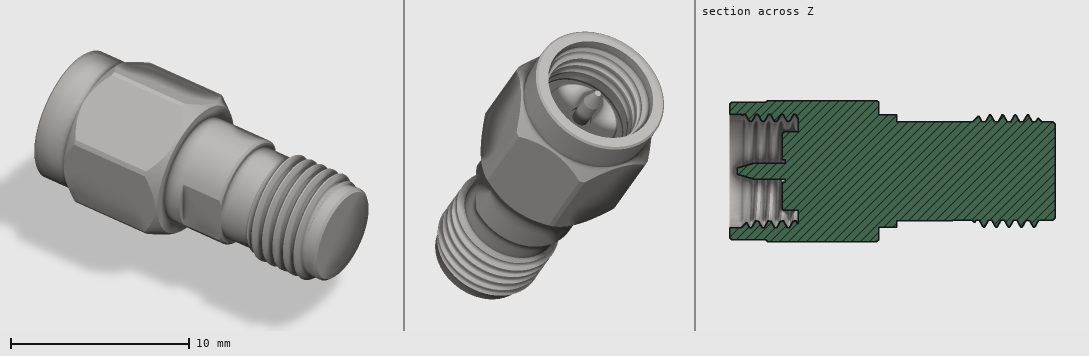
import cadquery as cq
import math

LENGTH = 18.29
HEX_START = 2.01
HEX_END = 8.38
FLAT_START = 9.4
BODY_END = 11.93
THREAD_START = 13.65
THREAD_END = 17.52

COLLAR_DIA = 7.75
COLLAR_CHAMFER = 0.11
HEX_ACROSS_FLATS = 7.94
HEX_CORNER_DIA = 9.0
HEX_BEVEL_LENGTH = 0.8

BODY_DIA = 6.35
BODY_CHAMFER = 0.13
NECK_DIA = 5.58
NECK_CHAMFER = 0.15
WRENCH_FLAT_SPAN = NECK_DIA

THREAD_TURNS = 5.5
PITCH = (THREAD_END - THREAD_START) / THREAD_TURNS
THREAD_HEIGHT = (BODY_DIA - NECK_DIA) / 2
CREST_WIDTH = 0.07
THREAD_BASE_WIDTH = 0.51
OUTER_CREST_X = 14.1
INNER_CREST_X = 1.35
INNER_BASE_WIDTH = 0.6
INNER_CREST_WIDTH = 0.16
EXTRA_TURNS = 1
ROOT_OVERLAP = 0.04

ENTRY_DEPTH = 0.65
SOCKET_DEPTH = 3.85
INSULATOR_DIA = 4.45
INSULATOR_FACE = 2.93
INSULATOR_CHAMFER = 0.13
PIN_DIA = 0.93
PIN_CLEARANCE_DIA = 1.23
PIN_CLEARANCE_DEPTH = 0.18
PIN_TIP_DIA = 0.37
PIN_TIP_X = 0.4
PIN_SHOULDER_X = 1.37


def cylinder(start, end, diameter):
    return cq.Workplane("YZ", origin=(start, 0, 0)).circle(diameter / 2).extrude(end - start)


def revolve_about_x(points):
    """Turn an outline of (x, radius) points about the X axis."""
    return cq.Workplane("XY").polyline(points).close().revolve(360, (0, 0, 0), (1, 0, 0))


def helical_ridge(start, turns, base_dia, tip_dia, base_width, tip_width):
    """Right-handed trapezoidal ridge about X, centred on the +Z side at start."""
    base_radius = base_dia / 2
    tip_radius = tip_dia / 2
    overlap = math.copysign(ROOT_OVERLAP, tip_radius - base_radius)
    flank_slope = (base_width - tip_width) / 2 / abs(tip_radius - base_radius)
    root_half = base_width / 2 + ROOT_OVERLAP * flank_slope
    profile = [
        (base_radius - overlap, -root_half),
        (tip_radius, -tip_width / 2),
        (tip_radius, tip_width / 2),
        (base_radius - overlap, root_half),
    ]
    path = cq.Workplane(obj=cq.Wire.makeHelix(PITCH, PITCH * turns, base_radius))
    ridge = cq.Workplane("XZ").polyline(profile).close().sweep(path, isFrenet=True)
    ridge = ridge.rotate((0, 0, 0), (0, 1, 0), 90).rotate((0, 0, 0), (1, 0, 0), 180)
    return ridge.translate((start, 0, 0))


def make_nut():
    collar = cylinder(0, HEX_END, COLLAR_DIA).faces("<X").chamfer(COLLAR_CHAMFER)
    across_corners = HEX_ACROSS_FLATS / math.cos(math.pi / 6)
    hexagon = (
        cq.Workplane("YZ", origin=(HEX_START, 0, 0))
        .transformed(rotate=(0, 0, 90))
        .polygon(6, across_corners)
        .extrude(HEX_END - HEX_START)
    )
    bevels = revolve_about_x([
        (HEX_START, 0),
        (HEX_START, COLLAR_DIA / 2),
        (HEX_START + HEX_BEVEL_LENGTH, HEX_CORNER_DIA / 2),
        (HEX_END - HEX_BEVEL_LENGTH, HEX_CORNER_DIA / 2),
        (HEX_END, COLLAR_DIA / 2),
        (HEX_END, 0),
    ])
    return collar.union(hexagon.intersect(bevels))


def make_body():
    body = cylinder(HEX_END, BODY_END, BODY_DIA).faces(">X").chamfer(BODY_CHAMFER)
    flat_length = BODY_END - FLAT_START
    between_flats = cq.Workplane("XY").box(flat_length, WRENCH_FLAT_SPAN, BODY_DIA)
    between_flats = between_flats.translate((FLAT_START + flat_length / 2, 0, 0))
    round_part = cylinder(HEX_END, FLAT_START, BODY_DIA)
    return body.intersect(between_flats.union(round_part))


def make_neck():
    return cylinder(BODY_END, LENGTH, NECK_DIA).faces(">X").chamfer(NECK_CHAMFER)


def make_outer_thread():
    ridge = helical_ridge(
        OUTER_CREST_X - PITCH, THREAD_TURNS + EXTRA_TURNS, NECK_DIA, BODY_DIA, THREAD_BASE_WIDTH, CREST_WIDTH
    )
    half_length = (THREAD_END - THREAD_START) / 2
    envelope = revolve_about_x([
        (THREAD_START, 0),
        (THREAD_START, NECK_DIA / 2),
        (THREAD_START + half_length, NECK_DIA / 2 + half_length),
        (THREAD_END, NECK_DIA / 2),
        (THREAD_END, 0),
    ])
    return ridge.intersect(envelope)


def make_inner_thread():
    turns = (SOCKET_DEPTH - INNER_CREST_X) / PITCH + 2 + EXTRA_TURNS
    ridge = helical_ridge(
        INNER_CREST_X - 2 * PITCH, turns, BODY_DIA, NECK_DIA, INNER_BASE_WIDTH, INNER_CREST_WIDTH
    )
    outer_radius = COLLAR_DIA / 2
    inner_radius = NECK_DIA / 2 - THREAD_HEIGHT
    entry_shift = outer_radius - BODY_DIA / 2
    envelope = revolve_about_x([
        (ENTRY_DEPTH - entry_shift, outer_radius),
        (ENTRY_DEPTH + 2 * THREAD_HEIGHT, inner_radius),
        (SOCKET_DEPTH, inner_radius),
        (SOCKET_DEPTH, outer_radius),
    ])
    return ridge.intersect(envelope)


def make_insulator():
    insulator = cylinder(INSULATOR_FACE, SOCKET_DEPTH, INSULATOR_DIA)
    insulator = insulator.faces("<X").chamfer(INSULATOR_CHAMFER)
    clearance_end = INSULATOR_FACE + PIN_CLEARANCE_DEPTH
    return insulator.cut(cylinder(INSULATOR_FACE, clearance_end, PIN_CLEARANCE_DIA))


def make_pin():
    return revolve_about_x([
        (PIN_TIP_X, 0),
        (PIN_TIP_X, PIN_TIP_DIA / 2),
        (PIN_SHOULDER_X, PIN_DIA / 2),
        (SOCKET_DEPTH, PIN_DIA / 2),
        (SOCKET_DEPTH, 0),
    ])


result = make_nut().union(make_body()).union(make_neck()).union(make_outer_thread())
result = result.cut(cylinder(0, SOCKET_DEPTH, BODY_DIA)).union(make_inner_thread())
result = result.union(make_insulator()).union(make_pin())